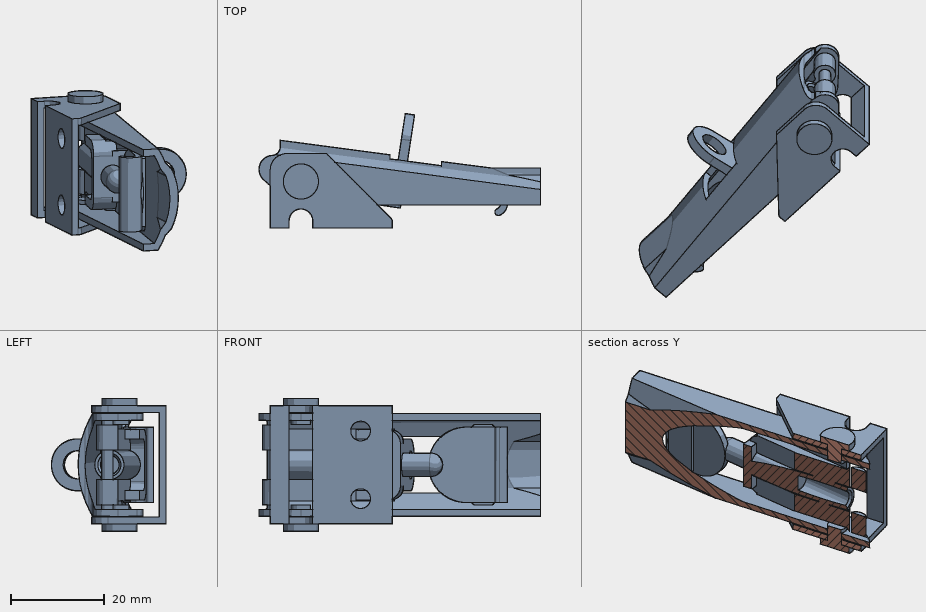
import cadquery as cq
import math


SHEET = 1.5

BRACKET_LEFT = 2.4
BRACKET_RIGHT = 28.45
BRACKET_HEIGHT = 15.9
BRACKET_HALF_WIDTH = 12.6
BRACKET_CORNER_RADIUS = 3.5
BRACKET_SLOPE_START = 14.4
BRACKET_TOE_RADIUS = 1.2
NOTCH_WIDTH = 5.0
NOTCH_HEIGHT = 4.1
SCREW_HOLE_DIAMETER = 4.2
SCREW_HOLE_X = 21.65
SCREW_HOLE_Z = 7.2

PIVOT_X = 8.95
PIVOT_Y = 9.95
RIVET_HEAD_DIAMETER = 7.5
RIVET_SHANK_DIAMETER = 4.15
RIVET_HALF_SPAN = 14.15
RIVET_INNER_END = 8.6

LEVER_RIGHT = 60.0
LEVER_BOTTOM = 4.9
LEVER_HALF_WIDTH = 11.0
LEVER_TILT = 7.5
LEVER_BACK_RADIUS = 20.5
LEVER_BACK_TOP_X = 4.5
LEVER_BACK_TOP_Y = 18.8
LEVER_INNER_HALF = LEVER_HALF_WIDTH - SHEET
PIVOT_RADIUS = PIVOT_Y - LEVER_BOTTOM
BACK_CORNER_RADIUS = 1.75
WINDOW_LEFT = 27.95
WINDOW_RIGHT = 38.9
WINDOW_HALF_WIDTH = 6.0

TAIL_RADIUS = 14.4
TAIL_OUTER_TOP = 12.85
TAIL_OUTER_ARC_HALF = 6.5
TAIL_OUTER_FLARE = 45.0
TAIL_INNER_TOP = 10.9
TAIL_INNER_ARC_HALF = 5.0
TAIL_INNER_FLARE = 38.0
TAIL_START = 48.0

HINGE_X = 3.0
HINGE_Y = 12.55
PIN_DIAMETER = 2.5
LUG_RADIUS = 3.0

HOOK_TILT = 8.7
BARREL_RADIUS = 2.3
BARREL_OUTER_Z = 8.5
TUBE_DIAMETER = 6.3
TUBE_BORE = 4.0
BORE_MOUTH = 5.0
TUBE_START = 2.9
TUBE_BORE_DEPTH = 12.0
LEG_HALF_THICKNESS = 1.0
LEG_OUTER_Z = 7.7
YOKE_BOTTOM = -4.1
YOKE_HALF_WIDTH = 7.5
YOKE_INNER_HALF = 5.45
YOKE_OUTER_RADIUS = 3.0
YOKE_INNER_RADIUS = 1.9
YOKE_START = 18.55
YOKE_END = 28.1
YOKE_WALL = 2.05
ROD_DIAMETER = 5.0
ROD_END = 34.1
EYE_OUTER_DIAMETER = 11.1
EYE_HOLE_DIAMETER = 6.0
EYE_HEIGHT = 10.5
PLATE_BOTTOM = 1.15
PLATE_HALF_WIDTH = 8.05
PLATE_ROUND_CENTRE = 41.35
LIP_CENTRE = 47.8
LIP_INNER_RADIUS = 1.2
LIP_SWEEP = 150.0
PAD_START = 41.7
PAD_END = 48.0
PAD_HALF_WIDTH = 8.6
PAD_HEIGHT = 0.7
PAD_CORNER = 1.2


def box(x0, x1, y0, y1, z0, z1):
    return cq.Workplane("XY").box(x1 - x0, y1 - y0, z1 - z0, centered=False).translate((x0, y0, z0))


def cylinder_z(x, y, radius, z0, z1):
    return cq.Workplane("XY").workplane(offset=z0).center(x, y).circle(radius).extrude(z1 - z0)


def polar(centre_x, centre_y, radius, degrees):
    angle = math.radians(degrees)
    return (centre_x + radius * math.cos(angle), centre_y + radius * math.sin(angle))


def make_bracket():
    slope_foot = BRACKET_HEIGHT - (BRACKET_RIGHT - BRACKET_SLOPE_START)
    block = (
        cq.Workplane("XY")
        .workplane(offset=-BRACKET_HALF_WIDTH)
        .polyline([
            (BRACKET_LEFT, 0),
            (BRACKET_RIGHT, 0),
            (BRACKET_RIGHT, slope_foot),
            (BRACKET_SLOPE_START, BRACKET_HEIGHT),
            (BRACKET_LEFT, BRACKET_HEIGHT),
        ])
        .close()
        .extrude(2 * BRACKET_HALF_WIDTH)
    )
    block = block.edges("|Z and <X and >Y").fillet(BRACKET_CORNER_RADIUS)
    toe = cq.selectors.NearestToPointSelector((BRACKET_RIGHT, slope_foot, 0))
    block = block.edges(toe).fillet(BRACKET_TOE_RADIUS)

    inner_half = BRACKET_HALF_WIDTH - SHEET
    bracket = block.cut(box(BRACKET_LEFT, BRACKET_RIGHT, SHEET, BRACKET_HEIGHT, -inner_half, inner_half))

    notch_radius = NOTCH_WIDTH / 2
    notch_centre = NOTCH_HEIGHT - notch_radius
    width = (-BRACKET_HALF_WIDTH, BRACKET_HALF_WIDTH)
    bracket = bracket.cut(cylinder_z(PIVOT_X, notch_centre, notch_radius, *width))
    bracket = bracket.cut(box(PIVOT_X - notch_radius, PIVOT_X + notch_radius, 0, notch_centre, *width))

    screw_holes = (
        cq.Workplane("XZ")
        .pushPoints([(SCREW_HOLE_X, SCREW_HOLE_Z), (SCREW_HOLE_X, -SCREW_HOLE_Z)])
        .circle(SCREW_HOLE_DIAMETER / 2)
        .extrude(-SHEET)
    )
    rivet_holes = cylinder_z(PIVOT_X, PIVOT_Y, RIVET_SHANK_DIAMETER / 2, *width)
    return bracket.cut(screw_holes).cut(rivet_holes)


def make_rivet(side):
    shank = cylinder_z(PIVOT_X, PIVOT_Y, RIVET_SHANK_DIAMETER / 2, RIVET_INNER_END, BRACKET_HALF_WIDTH)
    head = cylinder_z(PIVOT_X, PIVOT_Y, RIVET_HEAD_DIAMETER / 2, BRACKET_HALF_WIDTH, RIVET_HALF_SPAN)
    rivet = shank.union(head)
    return rivet if side > 0 else rivet.mirror("XY")


def arched_bar(half_width, radius, top):
    """Long bar under the lever's arched back, tilted with the back."""
    depth = 2 * radius
    shoulder = top - radius + math.sqrt(radius ** 2 - half_width ** 2)
    bar = (
        cq.Workplane("YZ")
        .workplane(offset=-LEVER_RIGHT / 2)
        .moveTo(top - depth, -half_width)
        .lineTo(shoulder, -half_width)
        .threePointArc((top, 0), (shoulder, half_width))
        .lineTo(top - depth, half_width)
        .close()
        .extrude(2 * LEVER_RIGHT)
    )
    bar = bar.rotate((0, 0, 0), (0, 0, 1), -LEVER_TILT)
    return bar.translate((LEVER_BACK_TOP_X, LEVER_BACK_TOP_Y, 0))


def tail_bar(top, arc_half, flare_angle, half_width):
    """Level bar under the tail hump, cut off at the given half width."""
    arc_y = top - TAIL_RADIUS + math.sqrt(TAIL_RADIUS ** 2 - arc_half ** 2)
    flare_width = (arc_y - LEVER_BOTTOM) / math.tan(math.radians(flare_angle))
    foot_z = arc_half + flare_width
    bar = (
        cq.Workplane("YZ")
        .workplane(offset=TAIL_START)
        .moveTo(LEVER_BOTTOM, -foot_z)
        .lineTo(arc_y, -arc_half)
        .threePointArc((top, 0), (arc_y, arc_half))
        .lineTo(LEVER_BOTTOM, foot_z)
        .close()
        .extrude(LEVER_RIGHT - TAIL_START)
    )
    return bar.intersect(box(TAIL_START, LEVER_RIGHT, LEVER_BOTTOM, top, -half_width, half_width))


def lever_outline():
    """Side outline of the lever: lug round the hinge, rounded pivot corner and square tail."""
    centres = math.hypot(PIVOT_X - HINGE_X, PIVOT_Y - HINGE_Y)
    line_angle = math.degrees(math.atan2(PIVOT_Y - HINGE_Y, PIVOT_X - HINGE_X))
    tangent_angle = line_angle - math.degrees(math.asin((PIVOT_RADIUS - LUG_RADIUS) / centres))
    normal = tangent_angle - 90
    over = LEVER_BACK_TOP_Y + SHEET
    lug_top = HINGE_Y + LUG_RADIUS
    corner_x = LEVER_BACK_TOP_X - BACK_CORNER_RADIUS
    corner_y = lug_top + BACK_CORNER_RADIUS
    return (
        cq.Workplane("XY")
        .workplane(offset=-LEVER_HALF_WIDTH)
        .moveTo(LEVER_RIGHT, LEVER_BOTTOM)
        .lineTo(PIVOT_X, LEVER_BOTTOM)
        .threePointArc(
            polar(PIVOT_X, PIVOT_Y, PIVOT_RADIUS, (normal - 90) / 2),
            polar(PIVOT_X, PIVOT_Y, PIVOT_RADIUS, normal),
        )
        .lineTo(*polar(HINGE_X, HINGE_Y, LUG_RADIUS, normal))
        .threePointArc((HINGE_X - LUG_RADIUS, HINGE_Y), (HINGE_X, lug_top))
        .lineTo(corner_x, lug_top)
        .threePointArc(
            polar(corner_x, corner_y, BACK_CORNER_RADIUS, -45),
            (LEVER_BACK_TOP_X, corner_y),
        )
        .lineTo(LEVER_BACK_TOP_X, over)
        .lineTo(LEVER_RIGHT, over)
        .close()
        .extrude(2 * LEVER_HALF_WIDTH)
    )


def make_lever():
    outside = arched_bar(LEVER_HALF_WIDTH, LEVER_BACK_RADIUS, 0)
    inside = arched_bar(LEVER_INNER_HALF, LEVER_BACK_RADIUS - SHEET, -SHEET)
    outer_tail = tail_bar(TAIL_OUTER_TOP, TAIL_OUTER_ARC_HALF, TAIL_OUTER_FLARE, LEVER_HALF_WIDTH)
    inner_tail = tail_bar(TAIL_INNER_TOP, TAIL_INNER_ARC_HALF, TAIL_INNER_FLARE, LEVER_INNER_HALF)
    outside = outside.union(outer_tail)
    inside = inside.union(inner_tail)
    lever = outside.intersect(lever_outline()).cut(inside)

    back_window = box(
        WINDOW_LEFT, WINDOW_RIGHT, PIVOT_Y, LEVER_BACK_TOP_Y, -WINDOW_HALF_WIDTH, WINDOW_HALF_WIDTH
    )
    rivet_radius = RIVET_SHANK_DIAMETER / 2
    rivet_holes = cylinder_z(PIVOT_X, PIVOT_Y, rivet_radius, -LEVER_HALF_WIDTH, LEVER_HALF_WIDTH)
    lever = lever.cut(back_window).cut(rivet_holes)
    pin = cylinder_z(HINGE_X, HINGE_Y, PIN_DIAMETER / 2, -LEVER_INNER_HALF, LEVER_INNER_HALF)
    return lever.union(pin)


def make_tube():
    tube = cq.Workplane("YZ").workplane(offset=TUBE_START).circle(TUBE_DIAMETER / 2)
    return tube.extrude(YOKE_END - YOKE_WALL - TUBE_START)


def tube_bore():
    mouth_depth = (BORE_MOUTH - TUBE_BORE) / 2
    end = TUBE_START + TUBE_BORE_DEPTH
    return (
        cq.Workplane("XY")
        .polyline([
            (TUBE_START, 0),
            (TUBE_START, BORE_MOUTH / 2),
            (TUBE_START + mouth_depth, TUBE_BORE / 2),
            (end, TUBE_BORE / 2),
            (end, 0),
        ])
        .close()
        .revolve(360, (0, 0, 0), (1, 0, 0))
    )


def make_yoke():
    """U round the tube: two short arms joined by a rounded end wall."""
    wall_inner = YOKE_END - YOKE_WALL
    outer = box(YOKE_START, YOKE_END, YOKE_BOTTOM, LEG_HALF_THICKNESS, -YOKE_HALF_WIDTH, YOKE_HALF_WIDTH)
    outer = outer.edges("|Y and >X").fillet(YOKE_OUTER_RADIUS)
    opening = box(0, wall_inner, YOKE_BOTTOM, LEG_HALF_THICKNESS, -YOKE_INNER_HALF, YOKE_INNER_HALF)
    opening = opening.edges("|Y and >X").fillet(YOKE_INNER_RADIUS)
    return outer.cut(opening)


def make_leg():
    """Barrel round the hinge pin with a flat leg that tapers at 45 degrees and runs to the yoke's wall."""
    inner_z = TUBE_DIAMETER / 2
    barrel = cylinder_z(0, 0, BARREL_RADIUS, inner_z, BARREL_OUTER_Z)
    leg_end = YOKE_END - YOKE_WALL
    leg = (
        cq.Workplane("XZ")
        .workplane(offset=-LEG_HALF_THICKNESS)
        .polyline([
            (0, inner_z),
            (leg_end, inner_z),
            (leg_end, LEG_OUTER_Z),
            (BARREL_RADIUS + BARREL_OUTER_Z - LEG_OUTER_Z, LEG_OUTER_Z),
            (BARREL_RADIUS, BARREL_OUTER_Z),
            (0, BARREL_OUTER_Z),
        ])
        .close()
        .extrude(2 * LEG_HALF_THICKNESS)
    )
    return barrel.union(leg)


def make_eye():
    """Upright padlock eye on the yoke's end wall."""
    radius = EYE_OUTER_DIAMETER / 2
    start = YOKE_END - YOKE_WALL
    eye = box(start, YOKE_END, 0, EYE_HEIGHT, -radius, radius)
    disc = cq.Workplane("YZ").workplane(offset=start).center(EYE_HEIGHT, 0)
    eye = eye.union(disc.circle(radius).extrude(YOKE_WALL))
    return eye.cut(disc.circle(EYE_HOLE_DIAMETER / 2).extrude(YOKE_WALL))


def make_rod():
    start = YOKE_END - YOKE_WALL
    rod = cq.Workplane("YZ").workplane(offset=start).circle(ROD_DIAMETER / 2).extrude(ROD_END - start)
    dome = cq.Workplane("XY").sphere(ROD_DIAMETER / 2).translate((ROD_END, 0, 0))
    return rod.union(dome)


def make_hook_plate():
    """Round-nosed plate on the rod's end, curled down and back into a lip."""
    top = PLATE_BOTTOM + SHEET
    plate = box(PLATE_ROUND_CENTRE, LIP_CENTRE, PLATE_BOTTOM, top, -PLATE_HALF_WIDTH, PLATE_HALF_WIDTH)
    nose = cq.Workplane("XZ").workplane(offset=-top).center(PLATE_ROUND_CENTRE, 0)
    plate = plate.union(nose.circle(PLATE_HALF_WIDTH).extrude(SHEET))

    lip_y = PLATE_BOTTOM - LIP_INNER_RADIUS
    outer = LIP_INNER_RADIUS + SHEET
    last = 90 - LIP_SWEEP
    middle = 90 - LIP_SWEEP / 2
    tip = last - math.degrees(math.atan(SHEET / 2 / (LIP_INNER_RADIUS + SHEET / 2)))
    lip = (
        cq.Workplane("XY")
        .workplane(offset=-PLATE_HALF_WIDTH)
        .moveTo(LIP_CENTRE, top)
        .threePointArc(polar(LIP_CENTRE, lip_y, outer, middle), polar(LIP_CENTRE, lip_y, outer, last))
        .threePointArc(
            polar(LIP_CENTRE, lip_y, LIP_INNER_RADIUS + SHEET / 2, tip),
            polar(LIP_CENTRE, lip_y, LIP_INNER_RADIUS, last),
        )
        .threePointArc(polar(LIP_CENTRE, lip_y, LIP_INNER_RADIUS, middle), (LIP_CENTRE, PLATE_BOTTOM))
        .close()
        .extrude(2 * PLATE_HALF_WIDTH)
    )
    pad = box(PAD_START, PAD_END, top, top + PAD_HEIGHT, -PAD_HALF_WIDTH, PAD_HALF_WIDTH)
    pad = pad.edges("|Y").chamfer(PAD_CORNER)
    return plate.union(lip).union(pad)


def make_hook():
    leg = make_leg()
    hook = make_tube().union(make_yoke()).union(leg).union(leg.mirror("XY"))
    hook = hook.union(make_eye()).union(make_rod()).union(make_hook_plate())
    hook = hook.cut(tube_bore())
    hook = hook.cut(cylinder_z(0, 0, PIN_DIAMETER / 2, -BARREL_OUTER_Z, BARREL_OUTER_Z))
    hook = hook.rotate((0, 0, 0), (0, 0, 1), -HOOK_TILT)
    return hook.translate((HINGE_X, HINGE_Y, 0))


bracket = make_bracket()
lever = make_lever()
hook = make_hook()
rivets = [make_rivet(side) for side in (1, -1)]

result = cq.Compound.makeCompound(
    [bracket.val(), lever.val(), hook.val(), *[rivet.val() for rivet in rivets]]
)